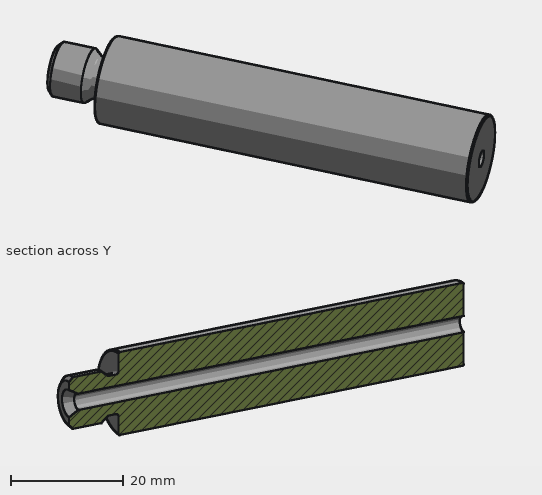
import cadquery as cq
import math

total_length = 80.0
body_diameter = 16.0
body_chamfer = 0.2

pin_diameter = 10.0
pin_chamfer = 0.8
pin_land_end = 6.6
shoulder_x = 10.0

neck_diameter = 7.7
neck_cone_angle = math.radians(40)
neck_fillet = 0.5

bore_diameter = 3.0
mouth_diameter = 5.2
mouth_half_angle = math.radians(30)

body_radius = body_diameter / 2
pin_radius = pin_diameter / 2
neck_radius = neck_diameter / 2
bore_radius = bore_diameter / 2
mouth_radius = mouth_diameter / 2

mouth_depth = (mouth_radius - bore_radius) / math.tan(mouth_half_angle)

cone_corner_x = pin_land_end + (pin_radius - neck_radius) / math.tan(neck_cone_angle)
blend_end_x = cone_corner_x + neck_fillet * math.tan(neck_cone_angle / 2)
blend_center_radius = neck_radius + neck_fillet


def blend_point(angle):
    """Point on the cone blend, at an angle back from its tangency with the neck."""
    return (
        blend_end_x - neck_fillet * math.sin(angle),
        blend_center_radius - neck_fillet * math.cos(angle),
    )


shoulder_arc_middle = (
    shoulder_x - neck_fillet * (1 - math.sin(math.pi / 4)),
    blend_center_radius - neck_fillet * math.cos(math.pi / 4),
)

half_section = (
    cq.Workplane("XY")
    .moveTo(0, mouth_radius)
    .lineTo(0, pin_radius - pin_chamfer)
    .lineTo(pin_chamfer, pin_radius)
    .lineTo(pin_land_end, pin_radius)
    .lineTo(*blend_point(neck_cone_angle))
    .threePointArc(blend_point(neck_cone_angle / 2), blend_point(0))
    .lineTo(shoulder_x - neck_fillet, neck_radius)
    .threePointArc(shoulder_arc_middle, (shoulder_x, blend_center_radius))
    .lineTo(shoulder_x, body_radius - body_chamfer)
    .lineTo(shoulder_x + body_chamfer, body_radius)
    .lineTo(total_length - body_chamfer, body_radius)
    .lineTo(total_length, body_radius - body_chamfer)
    .lineTo(total_length, bore_radius)
    .lineTo(mouth_depth, bore_radius)
    .close()
)

result = half_section.revolve(360, (0, 0, 0), (1, 0, 0))